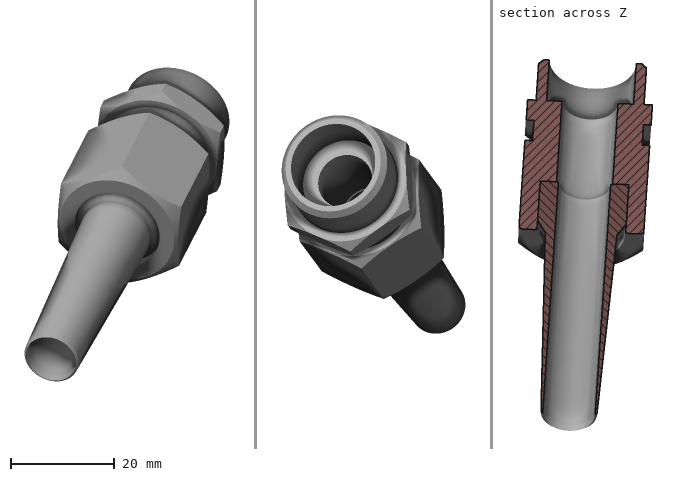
import cadquery as cq
import math

AXIS_ANGLE = 32.26
TOTAL_LENGTH = 87.1

SPIGOT_D = 20.9
SPIGOT_CHAMFER = 1.05
NECK_D = 21.21
HEX_FLATS = 24.12
COLLAR_START = 10.0
COLLAR_LENGTH = 5.1
COLLAR_TWIST = 2.8
NUT_START = 20.0
NUT_LENGTH = 22.0
NUT_TWIST = 1.8
HEX_CHAMFER_ANGLE = 37.0
COLLAR_FACE_D = 24.3
NUT_REAR_FACE_D = 23.7
NUT_FRONT_FACE_D = 22.9

ENTRY_BORE_D = 16.68
ENTRY_BORE_DEPTH = 10.0
THROUGH_BORE_D = 10.72
SOCKET_D = 17.0
SOCKET_DEPTH = 12.0

TUBE_ROOT_D = 13.9
TUBE_TIP_D = 10.87
TIP_BEVEL_LENGTH = 0.4
TUBE_BORE_D = 10.0
SHOULDER_ANGLE = 30.0
SHOULDER_PROTRUSION = 0.55

NUT_END = NUT_START + NUT_LENGTH
SOCKET_START = NUT_END - SOCKET_DEPTH


def cylinder(diameter, start, end):
    return cq.Workplane("YZ", origin=(start, 0, 0)).circle(diameter / 2).extrude(end - start)


def chamfered_hexagon(start, length, twist, rear_face_d, front_face_d):
    """Hexagonal prism with one edge near +Z and its corners turned to a cone at each end."""
    corner_d = HEX_FLATS / math.cos(math.radians(30))
    end = start + length
    slope = math.tan(math.radians(HEX_CHAMFER_ANGLE))
    rear_depth = (corner_d - rear_face_d) / 2 * slope
    front_depth = (corner_d - front_face_d) / 2 * slope
    prism = (
        cq.Workplane("YZ", origin=(start, 0, 0))
        .polygon(6, corner_d)
        .extrude(length)
        .rotate((0, 0, 0), (1, 0, 0), 90 - twist)
    )
    envelope = (
        cq.Workplane("XY")
        .polyline([
            (start, 0),
            (start, rear_face_d / 2),
            (start + rear_depth, corner_d / 2),
            (end - front_depth, corner_d / 2),
            (end, front_face_d / 2),
            (end, 0),
        ])
        .close()
        .revolve(360, (0, 0, 0), (1, 0, 0))
    )
    return prism.intersect(envelope)


def make_fitting():
    spigot = cylinder(SPIGOT_D, 0, COLLAR_START).faces("<X").chamfer(SPIGOT_CHAMFER)
    collar_end = COLLAR_START + COLLAR_LENGTH
    collar = chamfered_hexagon(COLLAR_START, COLLAR_LENGTH, COLLAR_TWIST, COLLAR_FACE_D, COLLAR_FACE_D)
    neck = cylinder(NECK_D, collar_end, NUT_START)
    nut = chamfered_hexagon(NUT_START, NUT_LENGTH, NUT_TWIST, NUT_REAR_FACE_D, NUT_FRONT_FACE_D)
    entry_bore = cylinder(ENTRY_BORE_D, 0, ENTRY_BORE_DEPTH)
    through_bore = cylinder(THROUGH_BORE_D, 0, NUT_END)
    socket = cylinder(SOCKET_D, SOCKET_START, NUT_END)
    outside = spigot.union(collar).union(neck).union(nut)
    return outside.cut(entry_bore).cut(through_bore).cut(socket)


def make_tube():
    """Hollow tube: plain shank in the socket, conical shoulder, taper, bevel down to the bore at the tip."""
    bore_r = TUBE_BORE_D / 2
    taper_start = NUT_END + SHOULDER_PROTRUSION
    shoulder_length = (SOCKET_D - TUBE_ROOT_D) / 2 / math.tan(math.radians(SHOULDER_ANGLE))
    return (
        cq.Workplane("XY")
        .polyline([
            (SOCKET_START, bore_r),
            (SOCKET_START, SOCKET_D / 2),
            (taper_start - shoulder_length, SOCKET_D / 2),
            (taper_start, TUBE_ROOT_D / 2),
            (TOTAL_LENGTH - TIP_BEVEL_LENGTH, TUBE_TIP_D / 2),
            (TOTAL_LENGTH, bore_r),
        ])
        .close()
        .revolve(360, (0, 0, 0), (1, 0, 0))
    )


def swing(body):
    return body.rotate((0, 0, 0), (0, 0, 1), -AXIS_ANGLE)


fitting = swing(make_fitting())
tube = swing(make_tube())

result = cq.Compound.makeCompound([fitting.val(), tube.val()])